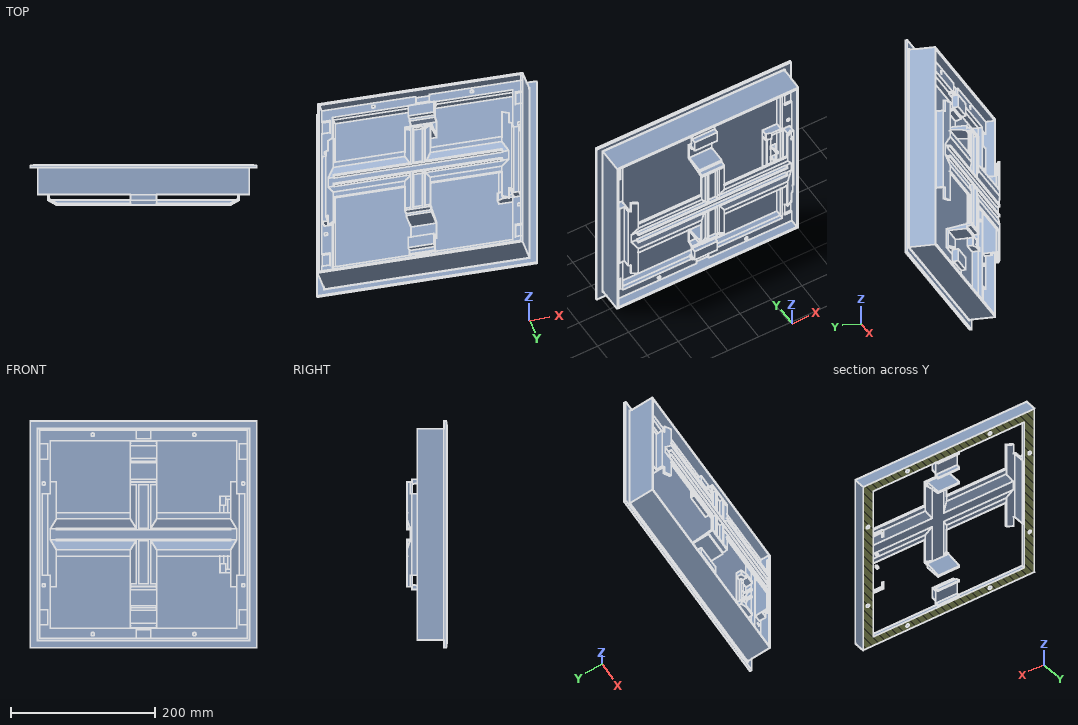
import cadquery as cq

TRIM_SIZE = 314.0
TRIM_FRONT_Y = -4.4
TRIM_CROWN_DEPTH = 1.2
TRIM_CROWN_RUN = 10.0
SEAT_DEPTH = 1.0
SEAT_CLEARANCE = 0.8
SEAT_Y = TRIM_FRONT_Y + SEAT_DEPTH

CASING_SIZE = 293.0
CASING_WALL = 2.6
CASING_FRONT_Y = -41.5
CASING_INNER = CASING_SIZE - 2 * CASING_WALL
RING_FRONT_Y = -28.0
RING_BACK_Y = -22.0
WINDOW_X = 257.6
WINDOW_Z = 259.6
SCREW_DIAMETER = 4.6
SCREW_OFFSET = 70.4
SCREW_REACH = 138.1
NOTCH_DEPTH = 3.0
NOTCH_INNER_EDGE = 132.3
NOTCH_WIDTH_TOP = 20.0
NOTCH_WIDTH_SIDE = 21.0
NOTCH_SIDE_Z = 114.8

PANEL_FLOOR_Y = -13.0

SHEET = 2.4
RIM_Y = -55.8
GROOVE_FLOOR_Y = -51.0
BEAM_HALF_HEIGHT = 30.0
BEAM_GROOVE_RIM = 21.4
BEAM_GROOVE_FLOOR = 7.6
BEAM_RIB_INNER = 6.4
BEAM_RIB_OUTER = 8.7
ARM_HALF_WIDTH = 18.2
ARM_GROOVE_FLOOR = 9.7
ARM_RIB_INNER = 6.8
ARM_GROOVE_END = 68.5
BEND_X = 132.8
BEND_Y = -48.9
RIM_X = 120.5
FOOT_OUTER_X = 140.4
FOOT_FRONT_Y = -38.7
LEG_HALF_HEIGHT = 56.6
WING_EDGE_X = 129.3
WING_HALF_HEIGHT = 72.8
SIDE_SLOPE = (BEND_Y - RIM_Y) / (BEND_X - RIM_X)
SIDE_SHEET_Y = SHEET * (1 + SIDE_SLOPE**2) ** 0.5

ARM_TIP_Z = 72.0
ARM_SHOULDER_Z = WING_HALF_HEIGHT
ARM_LEG_OUTER_Z = 76.4
ARM_LEG_INNER_FRONT_Z = 69.5
ARM_LEG_INNER_BACK_Z = 73.8
ARM_PLATE_Y = -22.0
ARM_PLATE_END_Z = 98.9
HOOK_PLATE_Y = -30.0
HOOK_START_Z = 101.5
HOOK_SHEET = 2.0
HOOK_END_Z = 129.0
HOOK_LIP_Z = 126.5
HOOK_LIP_BACK_Y = -23.0
HOOK_BLOCK_Y = -37.0
HOOK_BLOCK_Z = (105.3, 123.0)

HANDLE_X = 105.3
HANDLE_HALF_HEIGHT = 53.0
HANDLE_BASE_Y = -14.0
POST_X = 111.1
POST_END_X = 116.4
POST_Y = -17.0
CAP_BLOCK_Z = 40.5
CAP_SHELF_Z = 48.4
CAP_CORNER_X = 106.3
CAP_CORNER_Y = -21.2
CAP_FRONT_Y = -24.0
CAP_BEND_X = 114.0
TAB_Z = (10.0, 12.5)
TAB_ROOT_X = 127.0
TAB_ROOT_Y = -16.0
TAB_SHOULDER_Y = -20.0
TAB_FINGER_X = (119.5, 122.0)
TAB_TIP_Y = -28.0


def block(x_range, y_range, z_range):
    """Axis-aligned box between three pairs of limits."""
    size = [abs(r[1] - r[0]) for r in (x_range, y_range, z_range)]
    middle = [(r[0] + r[1]) / 2 for r in (x_range, y_range, z_range)]
    return cq.Workplane("XY").box(*size).translate(tuple(middle))


def slab(width, height, back_y, front_y):
    """Box centred on the Y axis."""
    return block((-width / 2, width / 2), (front_y, back_y), (-height / 2, height / 2))


def along_x(yz_points, half_length):
    """Prism with a YZ outline, running equally to both sides of X = 0."""
    return cq.Workplane("YZ").polyline(yz_points).close().extrude(half_length, both=True)


def along_z(xy_points, z_range):
    """Prism with an XY outline between two Z levels."""
    prism = cq.Workplane("XY").polyline(xy_points).close().extrude(z_range[1] - z_range[0])
    return prism.translate((0, 0, z_range[0]))


def with_mirror(shape, plane):
    return shape.union(shape.mirror(plane))


def trim_strip():
    """Prism along Z whose outline curves from the flat back down to both rims."""
    half = TRIM_SIZE / 2
    crown_half = half - TRIM_CROWN_RUN
    radius = (TRIM_CROWN_RUN**2 + TRIM_CROWN_DEPTH**2) / (2 * TRIM_CROWN_DEPTH)
    mid_run = TRIM_CROWN_RUN / 2
    mid_y = (radius**2 - mid_run**2) ** 0.5 - radius
    return (
        cq.Workplane("XY")
        .moveTo(-half, TRIM_FRONT_Y)
        .lineTo(half, TRIM_FRONT_Y)
        .lineTo(half, -TRIM_CROWN_DEPTH)
        .threePointArc((crown_half + mid_run, mid_y), (crown_half, 0))
        .lineTo(-crown_half, 0)
        .threePointArc((-crown_half - mid_run, mid_y), (-half, -TRIM_CROWN_DEPTH))
        .close()
        .extrude(half, both=True)
    )


def make_trim():
    strip = trim_strip()
    plate = strip.intersect(strip.rotate((0, 0, 0), (0, 1, 0), 90))
    seat_size = CASING_SIZE + 2 * SEAT_CLEARANCE
    return plate.cut(slab(seat_size, seat_size, SEAT_Y, TRIM_FRONT_Y))


def make_casing():
    casing = slab(CASING_SIZE, CASING_SIZE, SEAT_Y, CASING_FRONT_Y)
    casing = casing.cut(slab(CASING_INNER, CASING_INNER, RING_BACK_Y, SEAT_Y))
    casing = casing.cut(slab(CASING_INNER, CASING_INNER, RING_FRONT_Y, CASING_FRONT_Y))
    casing = casing.cut(slab(WINDOW_X, WINDOW_Z, RING_BACK_Y, RING_FRONT_Y))

    spots = []
    for along in (-SCREW_OFFSET, SCREW_OFFSET):
        for reach in (-SCREW_REACH, SCREW_REACH):
            spots += [(along, reach), (reach, along)]
    holes = (
        cq.Workplane("XZ", origin=(0, RING_BACK_Y, 0))
        .pushPoints(spots)
        .circle(SCREW_DIAMETER / 2)
        .extrude(RING_BACK_Y - RING_FRONT_Y)
    )
    casing = casing.cut(holes)

    reach = (NOTCH_INNER_EDGE, CASING_INNER / 2)
    depth = (RING_FRONT_Y, RING_FRONT_Y + NOTCH_DEPTH)
    half_top = NOTCH_WIDTH_TOP / 2
    half_side = NOTCH_WIDTH_SIDE / 2
    top_notch = block((-half_top, half_top), depth, reach)
    side_notch = block(reach, depth, (NOTCH_SIDE_Z - half_side, NOTCH_SIDE_Z + half_side))
    casing = casing.cut(with_mirror(top_notch, "XY"))
    return casing.cut(with_mirror(with_mirror(side_notch, "XY"), "YZ"))


def make_panel():
    panel = slab(CASING_INNER, CASING_INNER, SEAT_Y, RING_BACK_Y)
    return panel.cut(slab(WINDOW_X, WINDOW_Z, PANEL_FLOOR_Y, RING_BACK_Y))


def bar_outline(half_width, groove_rim, groove_floor):
    """(across, Y) outline of a bar with a V-shaped trough and even sheet thickness."""
    right = [(groove_floor, GROOVE_FLOOR_Y), (groove_rim, RIM_Y)]
    if half_width > groove_rim:
        right.append((half_width, RIM_Y))
        right.append((half_width, RIM_Y + SHEET))
    right += [(groove_rim, RIM_Y + SHEET), (groove_floor, GROOVE_FLOOR_Y + SHEET)]
    left = [(-across, y) for across, y in reversed(right)]
    return right + left


def groove_outline(groove_rim, groove_floor):
    return [
        (groove_floor, GROOVE_FLOOR_Y),
        (groove_rim, RIM_Y),
        (-groove_rim, RIM_Y),
        (-groove_floor, GROOVE_FLOOR_Y),
    ]


def flipped(points):
    return [(b, a) for a, b in points]


def make_side():
    """Right-hand foot, leg and slanted wing."""
    leg_inner_x = BEND_X - SHEET
    leg = along_z(
        [
            (FOOT_OUTER_X, RING_FRONT_Y),
            (FOOT_OUTER_X, FOOT_FRONT_Y),
            (BEND_X, FOOT_FRONT_Y),
            (BEND_X, BEND_Y),
            (RIM_X, RIM_Y),
            (RIM_X, RIM_Y + SIDE_SHEET_Y),
            (leg_inner_x, BEND_Y - SIDE_SLOPE * SHEET + SIDE_SHEET_Y),
            (leg_inner_x, RING_FRONT_Y),
        ],
        (-LEG_HALF_HEIGHT, LEG_HALF_HEIGHT),
    )
    wing_edge_y = BEND_Y - SIDE_SLOPE * (BEND_X - WING_EDGE_X)
    wing = along_z(
        [
            (WING_EDGE_X, wing_edge_y),
            (RIM_X, RIM_Y),
            (RIM_X, RIM_Y + SIDE_SHEET_Y),
            (WING_EDGE_X, wing_edge_y + SIDE_SHEET_Y),
        ],
        (-WING_HALF_HEIGHT, WING_HALF_HEIGHT),
    )
    return leg.union(wing)


def make_arm_end():
    """Upper arm end: leg going back, plate, step forward and hook with its block."""
    return along_x(
        [
            (RIM_Y, ARM_GROOVE_END),
            (RIM_Y, ARM_TIP_Z),
            (BEND_Y, ARM_SHOULDER_Z),
            (BEND_Y, ARM_LEG_OUTER_Z),
            (ARM_PLATE_Y, ARM_LEG_OUTER_Z),
            (ARM_PLATE_Y, ARM_PLATE_END_Z),
            (HOOK_PLATE_Y, HOOK_START_Z),
            (HOOK_PLATE_Y, HOOK_BLOCK_Z[0]),
            (HOOK_BLOCK_Y, HOOK_BLOCK_Z[0]),
            (HOOK_BLOCK_Y, HOOK_BLOCK_Z[1]),
            (HOOK_PLATE_Y, HOOK_BLOCK_Z[1]),
            (HOOK_PLATE_Y, HOOK_END_Z),
            (HOOK_LIP_BACK_Y, HOOK_END_Z),
            (HOOK_LIP_BACK_Y, HOOK_LIP_Z),
            (HOOK_PLATE_Y + HOOK_SHEET, HOOK_LIP_Z),
            (HOOK_PLATE_Y + HOOK_SHEET, HOOK_START_Z + HOOK_SHEET),
            (ARM_PLATE_Y + SHEET, ARM_PLATE_END_Z + HOOK_SHEET),
            (ARM_PLATE_Y + SHEET, ARM_LEG_INNER_BACK_Z),
            (GROOVE_FLOOR_Y + SHEET, ARM_LEG_INNER_FRONT_Z),
            (GROOVE_FLOOR_Y + SHEET, ARM_GROOVE_END),
        ],
        ARM_HALF_WIDTH,
    )


def make_ribs():
    """Upright ribs along both edges of the beam floor and of each arm floor."""
    beam_rib = block((-RIM_X, RIM_X), (RIM_Y, GROOVE_FLOOR_Y), (BEAM_RIB_INNER, BEAM_RIB_OUTER))
    arm_rib = block(
        (ARM_RIB_INNER, ARM_GROOVE_FLOOR), (RIM_Y, GROOVE_FLOOR_Y), (BEAM_RIB_OUTER, ARM_GROOVE_END)
    )
    return with_mirror(beam_rib.union(with_mirror(arm_rib, "YZ")), "XY")


def make_bracket():
    beam = along_x(flipped(bar_outline(BEAM_HALF_HEIGHT, BEAM_GROOVE_RIM, BEAM_GROOVE_FLOOR)), WING_EDGE_X)
    beam_envelope = along_z(
        [(-BEND_X, BEND_Y), (-RIM_X, RIM_Y), (RIM_X, RIM_Y), (BEND_X, BEND_Y), (BEND_X, 0), (-BEND_X, 0)],
        (-BEAM_HALF_HEIGHT, BEAM_HALF_HEIGHT),
    )
    arm_span = (-ARM_GROOVE_END, ARM_GROOVE_END)
    arms = along_z(bar_outline(ARM_HALF_WIDTH, ARM_HALF_WIDTH, ARM_GROOVE_FLOOR), arm_span)

    cross = beam.intersect(beam_envelope).union(arms).union(with_mirror(make_side(), "YZ"))
    cross = cross.cut(along_x(flipped(groove_outline(BEAM_GROOVE_RIM, BEAM_GROOVE_FLOOR)), BEND_X))
    cross = cross.cut(along_z(groove_outline(ARM_HALF_WIDTH, ARM_GROOVE_FLOOR), arm_span))
    return cross.union(with_mirror(make_arm_end(), "XY")).union(make_ribs())


def make_handle():
    window_edge = WINDOW_X / 2
    full_height = (-HANDLE_HALF_HEIGHT, HANDLE_HALF_HEIGHT)
    base = block((HANDLE_X, POST_END_X), (HANDLE_BASE_Y, PANEL_FLOOR_Y), full_height)
    post = block((POST_X, POST_END_X), (POST_Y, PANEL_FLOOR_Y), full_height)
    cap_left = [
        (HANDLE_X, PANEL_FLOOR_Y),
        (HANDLE_X, CAP_CORNER_Y),
        (CAP_CORNER_X, CAP_CORNER_Y),
        (CAP_BEND_X, CAP_FRONT_Y),
    ]
    cap_block = along_z(
        cap_left + [(CAP_BEND_X, PANEL_FLOOR_Y)],
        (CAP_BLOCK_Z, HANDLE_HALF_HEIGHT),
    )
    cap_shelf = along_z(
        cap_left + [(window_edge, CAP_FRONT_Y), (window_edge, PANEL_FLOOR_Y)],
        (CAP_SHELF_Z, HANDLE_HALF_HEIGHT),
    )
    tab = along_z(
        [
            (POST_END_X, PANEL_FLOOR_Y),
            (TAB_ROOT_X, PANEL_FLOOR_Y),
            (TAB_FINGER_X[1], TAB_SHOULDER_Y),
            (TAB_FINGER_X[1], TAB_TIP_Y),
            (TAB_FINGER_X[0], TAB_TIP_Y),
            (TAB_FINGER_X[0], TAB_ROOT_Y),
            (POST_END_X, TAB_ROOT_Y),
        ],
        TAB_Z,
    )
    end = cap_block.union(cap_shelf).union(tab)
    return base.union(post).union(with_mirror(end, "XY"))


trim = make_trim()
casing = make_casing()
panel = make_panel()
bracket = make_bracket()
handle = make_handle()

bodies = [trim, casing, panel, bracket, handle]
result = cq.Compound.makeCompound([body.solids().val() for body in bodies])